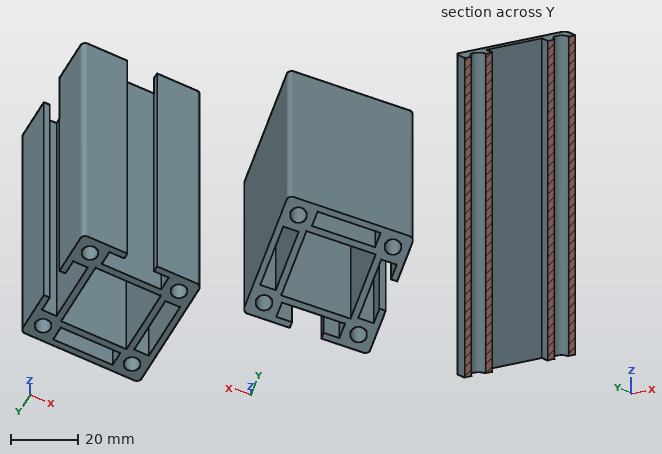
import cadquery as cq

side = 40.0
length = 100.0
corner_radius = 1.6

core_side = 22.0
outer_wall = 2.0
chamber_depth = 4.9
chamber_width = 20.0
slot_opening = 10.0

bore_diameter = 5.0
bore_spacing = 30.0

chamber_offset = side / 2 - outer_wall - chamber_depth / 2
lip_offset = side / 2 - outer_wall / 2


def prism(size_x, size_y, center_x=0.0, center_y=0.0):
    """Full-length rectangular bar centred at the given place."""
    return cq.Workplane("XY").center(center_x, center_y).rect(size_x, size_y).extrude(length)


body = prism(side, side).edges("|Z").fillet(corner_radius)
body = body.cut(prism(core_side, core_side))

for sign in (-1, 1):
    body = body.cut(prism(chamber_depth, chamber_width, center_x=sign * chamber_offset))
    body = body.cut(prism(chamber_width, chamber_depth, center_y=sign * chamber_offset))

body = body.cut(prism(outer_wall, slot_opening, center_x=-lip_offset))
body = body.cut(prism(slot_opening, outer_wall, center_y=-lip_offset))

bores = (
    cq.Workplane("XY")
    .rect(bore_spacing, bore_spacing, forConstruction=True)
    .vertices()
    .circle(bore_diameter / 2)
    .extrude(length)
)
result = body.cut(bores)